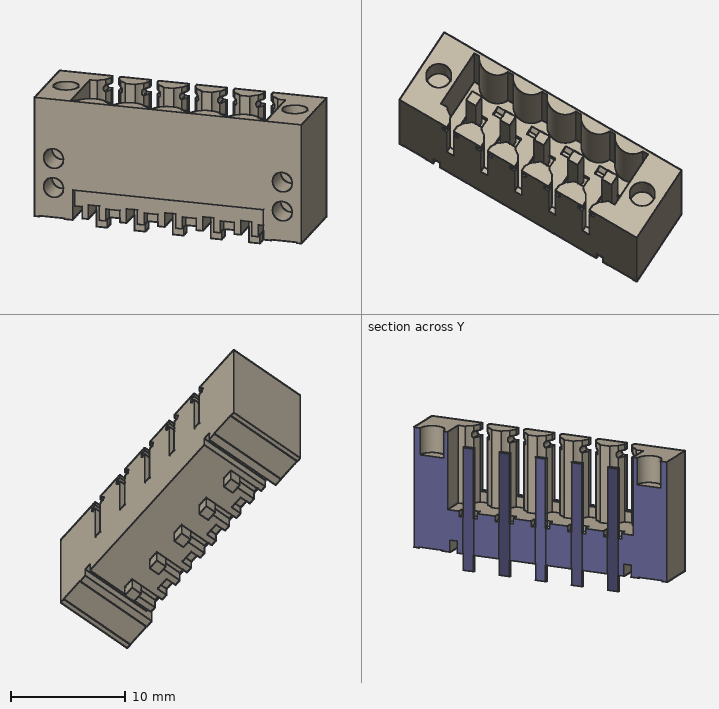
import cadquery as cq
import math


LENGTH = 24.5
DEPTH = 7.45
HEIGHT = 11.05
FRONT = -DEPTH / 2
BACK = DEPTH / 2

PIN_COUNT = 5
PITCH = LENGTH / 7
PIN_SIZE = 1.0
PIN_Y = -0.22
PIN_TOP = 9.8
PIN_BOTTOM = -1.5

POCKET_LENGTH = 17.93
POCKET_FRONT = -3.43
POCKET_BACK = 2.1
POCKET_FLOOR = 3.92
VALLEY_FRONT = -3.5
PIT_SIZE = 1.72
PIT_DEPTH = 0.5

PROFILE_RADIUS = 1.6
RIB_CENTER_Y = -4.12
CHANNEL_CENTER_Y = 1.18
CHANNEL_SHOULDER_X = 0.69
CHANNEL_BACK = 3.2

SLIT_WIDTH = 0.7
SLIT_FLOOR = 4.9
LATCH_SLOT_WIDTH = 1.72
LATCH_SLOT_FLAT = 1.42
LATCH_SLOT_HEIGHT = 0.6
LATCH_SLOT_BOTTOM = 9.92

CODING_WIDTH = 1.45
CODING_BACK = -1.72
CODING_STEP = -2.15
CODING_FRONT = -2.55
CODING_DEPTH = 0.4

END_HOLE_X = 3 * PITCH
SCREW_DIAMETER = 2.23
SCREW_DEPTH = 2.45
FRONT_HOLE_DIAMETER = 1.81
FRONT_HOLE_DEPTH = 2.45
FRONT_HOLE_HEIGHTS = (2.85, 5.54)

FOOT_GROOVE_X = 10.65
FOOT_GROOVE_WIDTH = 2.3
FOOT_GROOVE_DEPTH = 0.07
RECESS_LENGTH = 17.52
RECESS_HEIGHT = 2.8
RECESS_DEPTH = 0.64
COMB_LENGTH = 16.17
COMB_HEIGHT = 1.1
COMB_FRONT = FRONT + RECESS_DEPTH
PIN_SLOT_HEIGHT = 1.32
VENT_WIDTH = 1.27
VENT_DEPTH = 1.0

pin_positions = [(i - (PIN_COUNT - 1) / 2) * PITCH for i in range(PIN_COUNT)]
gap_positions = [x + PITCH / 2 for x in pin_positions[:-1]]
end_positions = [-END_HOLE_X, END_HOLE_X]


def box(x, width, y_min, y_max, z_min, z_max):
    """Upright box centred on x, between the given Y and Z limits."""
    return (
        cq.Workplane("XY")
        .box(width, y_max - y_min, z_max - z_min, centered=(True, False, False))
        .translate((x, y_min, z_min))
    )


def make_pin(x):
    """Straight square contact pin."""
    half = PIN_SIZE / 2
    return box(x, PIN_SIZE, PIN_Y - half, PIN_Y + half, PIN_BOTTOM, PIN_TOP)


def front_rib(x):
    """Round rib that the front wall keeps inside the pocket."""
    return (
        cq.Workplane("XY", origin=(x, RIB_CENTER_Y, POCKET_FLOOR))
        .circle(PROFILE_RADIUS)
        .extrude(HEIGHT - POCKET_FLOOR)
    )


def back_channel(x):
    """Keyed channel: a round mouth that narrows along two flats to the latch slit."""
    mouth_x = math.sqrt(PROFILE_RADIUS**2 - (POCKET_BACK - CHANNEL_CENTER_Y) ** 2)
    shoulder_y = CHANNEL_CENTER_Y + math.sqrt(PROFILE_RADIUS**2 - CHANNEL_SHOULDER_X**2)
    mid_angle = (
        math.atan2(POCKET_BACK - CHANNEL_CENTER_Y, mouth_x)
        + math.atan2(shoulder_y - CHANNEL_CENTER_Y, CHANNEL_SHOULDER_X)
    ) / 2
    mid_x = PROFILE_RADIUS * math.cos(mid_angle)
    mid_y = CHANNEL_CENTER_Y + PROFILE_RADIUS * math.sin(mid_angle)
    return (
        cq.Workplane("XY", origin=(x, 0, POCKET_FLOOR))
        .moveTo(mouth_x, POCKET_BACK)
        .threePointArc((mid_x, mid_y), (CHANNEL_SHOULDER_X, shoulder_y))
        .lineTo(SLIT_WIDTH / 2, CHANNEL_BACK)
        .lineTo(-SLIT_WIDTH / 2, CHANNEL_BACK)
        .lineTo(-CHANNEL_SHOULDER_X, shoulder_y)
        .threePointArc((-mid_x, mid_y), (-mouth_x, POCKET_BACK))
        .close()
        .extrude(HEIGHT - POCKET_FLOOR)
    )


def latch_opening(x):
    """Vertical slit through the back wall, crossed by a slot with bowed ends near the top."""
    slit = box(x, SLIT_WIDTH, CHANNEL_BACK, BACK, SLIT_FLOOR, HEIGHT)
    half_width = LATCH_SLOT_WIDTH / 2
    half_flat = LATCH_SLOT_FLAT / 2
    half_height = LATCH_SLOT_HEIGHT / 2
    slot = (
        cq.Workplane("XZ", origin=(x, BACK, LATCH_SLOT_BOTTOM + half_height))
        .moveTo(-half_flat, -half_height)
        .lineTo(half_flat, -half_height)
        .threePointArc((half_width, 0), (half_flat, half_height))
        .lineTo(-half_flat, half_height)
        .threePointArc((-half_width, 0), (-half_flat, -half_height))
        .close()
        .extrude(BACK - POCKET_BACK)
    )
    return slit.union(slot)


def pin_pit(x):
    """Square pit in the pocket floor around a pin."""
    half = PIT_SIZE / 2
    return box(x, PIT_SIZE, PIN_Y - half, PIN_Y + half, POCKET_FLOOR - PIT_DEPTH, POCKET_FLOOR)


def coding_recess(x):
    """Shallow recess in the pocket floor with a sloped front side."""
    floor = POCKET_FLOOR - CODING_DEPTH
    return (
        cq.Workplane("YZ", origin=(x - CODING_WIDTH / 2, 0, 0))
        .polyline(
            [
                (CODING_BACK, POCKET_FLOOR),
                (CODING_BACK, floor),
                (CODING_STEP, floor),
                (CODING_FRONT, POCKET_FLOOR),
            ]
        )
        .close()
        .extrude(CODING_WIDTH)
    )


def pocket():
    """Mating pocket with its ribs, channels and valleys between the ribs."""
    cavity = box(0, POCKET_LENGTH, POCKET_FRONT, POCKET_BACK, POCKET_FLOOR, HEIGHT)
    for x in gap_positions:
        cavity = cavity.union(box(x, PITCH, VALLEY_FRONT, POCKET_FRONT, POCKET_FLOOR, HEIGHT))
    for x in pin_positions:
        cavity = cavity.cut(front_rib(x)).union(back_channel(x))
    return cavity


def underside():
    """Front recess, end notches, foot grooves, and the comb of slots below the pocket."""
    cutter = box(0, RECESS_LENGTH, FRONT, COMB_FRONT, 0, RECESS_HEIGHT)
    notch_width = (RECESS_LENGTH - COMB_LENGTH) / 2
    notch_x = (RECESS_LENGTH - notch_width) / 2
    for x in (-notch_x, notch_x):
        cutter = cutter.union(box(x, notch_width, FRONT, BACK, 0, COMB_HEIGHT))
    for x in (-FOOT_GROOVE_X, FOOT_GROOVE_X):
        cutter = cutter.union(box(x, FOOT_GROOVE_WIDTH, FRONT, BACK, 0, FOOT_GROOVE_DEPTH))
    for x in pin_positions:
        cutter = cutter.union(box(x, PIN_SIZE, COMB_FRONT, PIN_Y, 0, PIN_SLOT_HEIGHT))
    for x in gap_positions:
        cutter = cutter.union(box(x, VENT_WIDTH, COMB_FRONT, COMB_FRONT + VENT_DEPTH, 0, COMB_HEIGHT))
    return cutter


def screw_hole(x):
    """Blind hole in the top of an end block."""
    return (
        cq.Workplane("XY", origin=(x, 0, HEIGHT))
        .circle(SCREW_DIAMETER / 2)
        .extrude(-SCREW_DEPTH)
    )


def front_hole(x, z):
    """Blind hole in the front of an end block."""
    return (
        cq.Workplane("XZ", origin=(x, FRONT, z))
        .circle(FRONT_HOLE_DIAMETER / 2)
        .extrude(-FRONT_HOLE_DEPTH)
    )


def make_housing():
    """Housing block with pocket, latch openings, pin seats and fastening holes."""
    body = box(0, LENGTH, FRONT, BACK, 0, HEIGHT).cut(pocket()).cut(underside())
    for x in pin_positions:
        body = body.cut(latch_opening(x)).cut(pin_pit(x)).cut(make_pin(x))
    for x in gap_positions:
        body = body.cut(coding_recess(x))
    for x in end_positions:
        body = body.cut(screw_hole(x))
        for z in FRONT_HOLE_HEIGHTS:
            body = body.cut(front_hole(x, z))
    return body


housing = make_housing().solids()
pins = [make_pin(x) for x in pin_positions]

result = cq.Compound.makeCompound([housing.val(), *[pin.val() for pin in pins]])